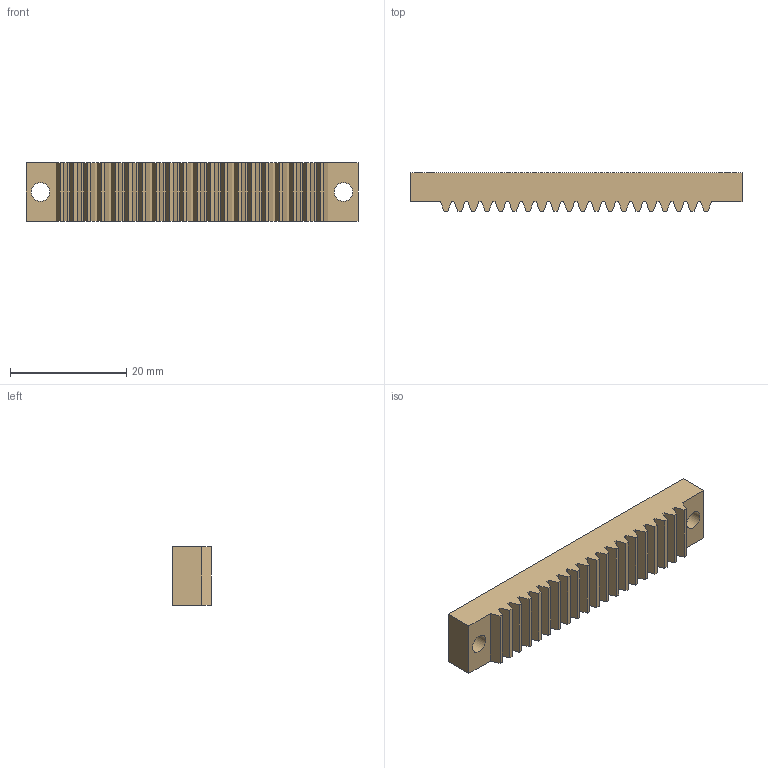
import cadquery as cq
import math

module = 0.75
tooth_count = 20
flank_angle = math.radians(22)
face_width = 10.0
bar_depth = 5.0
end_length = 5.0

hole_diameter = 3.2
hole_end_distance = end_length / 2

pitch = math.pi * module
addendum = module
dedendum = 1.25 * module
tooth_height = addendum + dedendum
tip_half_width = pitch / 4 - addendum * math.tan(flank_angle)
root_half_width = pitch / 4 + dedendum * math.tan(flank_angle)

bar_length = tooth_count * pitch + 2 * end_length


def tooth_center(index):
    """X position of a tooth, with the row centred on X = 0."""
    return (index - (tooth_count - 1) / 2) * pitch


def make_rack():
    """Bar with straight-flanked teeth; roots lie on Y = 0 and teeth point to -Y."""
    outline = cq.Workplane("XY").moveTo(-bar_length / 2, bar_depth)
    outline = outline.lineTo(-bar_length / 2, 0)
    for index in range(tooth_count):
        center = tooth_center(index)
        outline = outline.lineTo(center - root_half_width, 0)
        outline = outline.lineTo(center - tip_half_width, -tooth_height)
        outline = outline.lineTo(center + tip_half_width, -tooth_height)
        outline = outline.lineTo(center + root_half_width, 0)
    outline = outline.lineTo(bar_length / 2, 0)
    outline = outline.lineTo(bar_length / 2, bar_depth)
    return outline.close().extrude(face_width)


def make_holes():
    """Cylinders through the bar along Y, one near each end at mid height."""
    hole_x = bar_length / 2 - hole_end_distance
    mid_height = face_width / 2
    centers = [(-hole_x, mid_height), (hole_x, mid_height)]
    holes = cq.Workplane("XZ").pushPoints(centers).circle(hole_diameter / 2)
    return holes.extrude(-bar_depth)


result = make_rack().cut(make_holes())